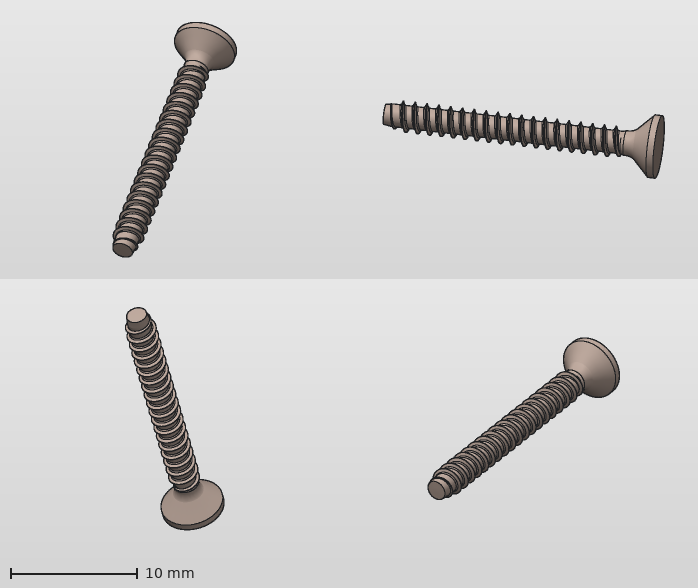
import cadquery as cq
import math


length = 22.0
head_diameter = 5.0
rim_height = 0.55
cone_height = 1.25
neck_radius = 1.0
neck_fillet_height = 0.68
neck_length = 0.2
neck_step_height = 0.26

core_radius = 0.9
tip_radius = 0.81
tip_taper_length = 0.65
tip_point_height = 0.02

thread_bottom = 0.29
thread_length = 19.47
full_turns = 18.0
fade_turns = 1.25
crest_radius = 1.23
sunk_crest_radius = 0.88
root_radius = 0.88
crest_width = 0.05
knee_radius = 1.0
knee_width = 0.26
root_width = 0.53
start_angle = 180.0
straight_helix = 360.0

pitch = thread_length / (full_turns + 2 * fade_turns)
full_height = full_turns * pitch
fade_height = fade_turns * pitch
sink_depth = crest_radius - sunk_crest_radius
fade_angle = math.degrees(math.atan2(sink_depth, fade_height))


def make_body():
    """Revolve the head, neck, core and tip as one outline."""
    head_radius = head_diameter / 2
    rim_bottom = length - rim_height
    cone_bottom = rim_bottom - cone_height
    cone_end_radius = head_radius - cone_height
    fillet_bottom = cone_bottom - neck_fillet_height
    neck_bottom = fillet_bottom - neck_length
    core_top = neck_bottom - neck_step_height
    return (
        cq.Workplane("XZ")
        .lineTo(tip_radius, tip_point_height)
        .lineTo(core_radius, tip_taper_length)
        .lineTo(core_radius, core_top)
        .lineTo(neck_radius, neck_bottom)
        .lineTo(neck_radius, fillet_bottom)
        .tangentArcPoint((cone_end_radius, cone_bottom), relative=False)
        .lineTo(head_radius, rim_bottom)
        .lineTo(head_radius, length)
        .lineTo(0, length)
        .close()
        .revolve(360, (0, 0, 0), (0, 1, 0))
    )


def make_ridge(height, bottom, sink, cone_angle):
    """Build one stretch of the helical ridge, with its lower end sunk towards the axis."""
    corners = [
        (root_radius, -root_width / 2),
        (knee_radius, -knee_width / 2),
        (crest_radius, -crest_width / 2),
        (crest_radius, crest_width / 2),
        (knee_radius, knee_width / 2),
        (root_radius, root_width / 2),
    ]
    slope = math.cos(math.radians(cone_angle))
    helices = []
    for radius, offset in corners:
        helix = cq.Wire.makeHelix(pitch / slope, height / slope, radius - sink, angle=cone_angle)
        helices.append(helix.Edges()[0].translate(cq.Vector(0, 0, offset)))

    faces = []
    for helix, neighbour in zip(helices, helices[1:] + helices[:1]):
        faces.append(cq.Face.makeRuledSurface(helix, neighbour))
    for end in (0, 1):
        points = [helix.positionAt(end) for helix in helices]
        faces.append(cq.Face.makeFromWires(cq.Wire.makePolygon(points, close=True)))

    ridge = cq.Solid.makeSolid(cq.Shell.makeShell(faces))
    turn = start_angle + 360 * (bottom - thread_bottom) / pitch
    axis_start = cq.Vector(0, 0, 0)
    axis_end = cq.Vector(0, 0, 1)
    return ridge.rotate(axis_start, axis_end, turn).translate(cq.Vector(0, 0, bottom))


def make_thread():
    """List the rising, full and sinking stretches of the thread, from the tip up."""
    full_bottom = thread_bottom + fade_height
    full_top = full_bottom + full_height
    return [
        make_ridge(fade_height, thread_bottom, sink_depth, fade_angle),
        make_ridge(full_height, full_bottom, 0, straight_helix),
        make_ridge(fade_height, full_top, 0, -fade_angle),
    ]


screw = make_body()
for stretch in make_thread():
    screw = screw.union(cq.Workplane(stretch))

result = screw.rotate((0, 0, 0), (1, 0, 0), -90)